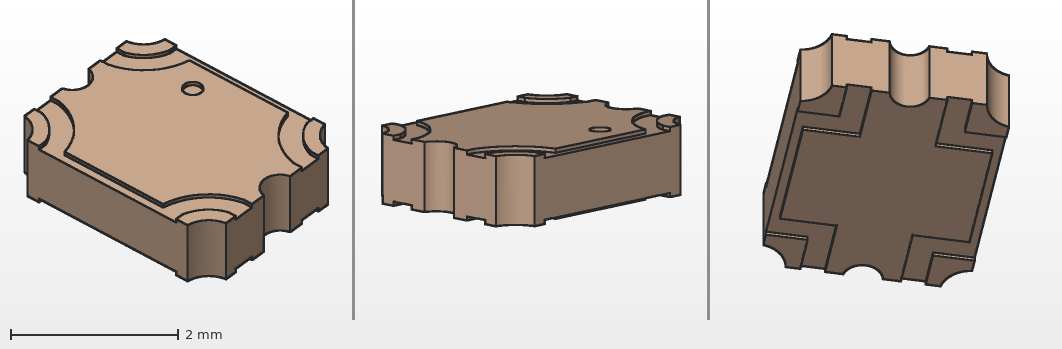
import cadquery as cq

length = 3.17
width = 2.54
height = 0.86
half_length = length / 2
half_width = width / 2

center_offset = 0.05
corner_radius = 0.38
side_radius = 0.247

recess_depth = 0.05
border_width = 0.117
pad_size = 0.507
pad_radius = 0.583
moat_reach = 0.808
moat_radius = 0.878

mark_radius = 0.127
mark_x = -0.393
mark_y = 0.767
mark_depth = recess_depth

corner_signs = [(sx, sy) for sx in (-1, 1) for sy in (-1, 1)]
corner_centers = [
    (sx * (half_length + center_offset), sy * (half_width + center_offset))
    for sx, sy in corner_signs
]
side_centers = [(sx * (half_length + center_offset), 0) for sx in (-1, 1)]


def plate(size_x, size_y, thickness):
    """Rectangular plate centred on the Z axis, resting on Z = 0."""
    return cq.Workplane("XY").rect(size_x, size_y).extrude(thickness)


def discs(centers, radius, thickness):
    """Discs at the given centres, resting on Z = 0."""
    return cq.Workplane("XY").pushPoints(centers).circle(radius).extrude(thickness)


def corner_squares(size):
    """Square plates filling the four corners of the body."""
    centers = [
        (sx * (half_length - size / 2), sy * (half_width - size / 2))
        for sx, sy in corner_signs
    ]
    return cq.Workplane("XY").pushPoints(centers).rect(size, size).extrude(recess_depth)


def face_recess(pads, moats):
    """Material removed around the central plateau, leaving the corner pads."""
    plateau = plate(length, width - 2 * border_width, recess_depth).cut(moats)
    return plate(length, width, recess_depth).cut(plateau).cut(pads)


body = plate(length, width, height)

bottom_recess = face_recess(corner_squares(pad_size), corner_squares(moat_reach))
body = body.cut(bottom_recess)

round_pads = corner_squares(pad_size).intersect(discs(corner_centers, pad_radius, recess_depth))
moat_limits = plate(length, width, recess_depth).cut(
    plate(length, width - 2 * moat_reach, recess_depth)
)
round_moats = moat_limits.intersect(discs(corner_centers, moat_radius, recess_depth))
top_recess = face_recess(round_pads, round_moats)
body = body.cut(top_recess.translate((0, 0, height - recess_depth)))

body = body.cut(discs(corner_centers, corner_radius, height))
body = body.cut(discs(side_centers, side_radius, height))

mark = discs([(mark_x, mark_y)], mark_radius, mark_depth)
result = body.cut(mark.translate((0, 0, height - mark_depth)))